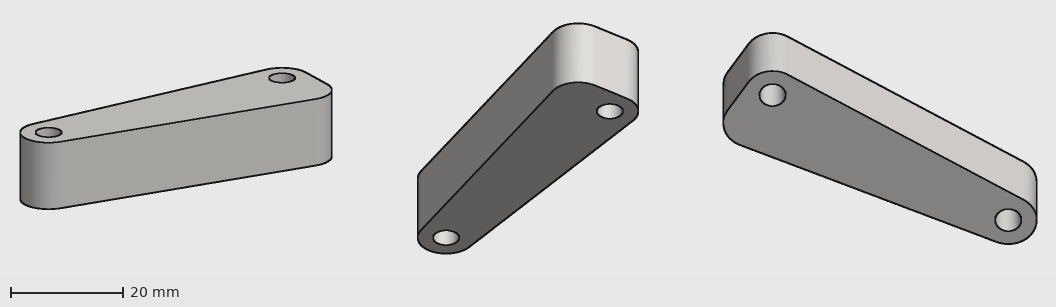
import cadquery as cq
import math

length = 59.65
width = 17.1
thickness = 12.7
corner_radius = 5.1
hole_diameter = 4.65

center_spacing = length - 2 * corner_radius
wide_offset = width - 2 * corner_radius

slant_angle = math.atan2(wide_offset, center_spacing)


def corner_point(center, angle):
    """Point on a corner arc at an angle (radians) from +X."""
    return (
        center[0] + corner_radius * math.cos(angle),
        center[1] + corner_radius * math.sin(angle),
    )


narrow_center = (0, 0)
wide_left_center = (0, center_spacing)
wide_right_center = (wide_offset, center_spacing)

outline = (
    cq.Workplane("XY")
    .moveTo(*corner_point(narrow_center, math.pi))
    .threePointArc(
        corner_point(narrow_center, -math.pi / 2),
        corner_point(narrow_center, -slant_angle),
    )
    .lineTo(*corner_point(wide_right_center, -slant_angle))
    .threePointArc(
        corner_point(wide_right_center, math.pi / 4),
        corner_point(wide_right_center, math.pi / 2),
    )
    .lineTo(*corner_point(wide_left_center, math.pi / 2))
    .threePointArc(
        corner_point(wide_left_center, 3 * math.pi / 4),
        corner_point(wide_left_center, math.pi),
    )
    .close()
)
arm = outline.extrude(thickness)

holes = (
    cq.Workplane("XY")
    .pushPoints([narrow_center, wide_left_center])
    .circle(hole_diameter / 2)
    .extrude(thickness)
)

result = arm.cut(holes)